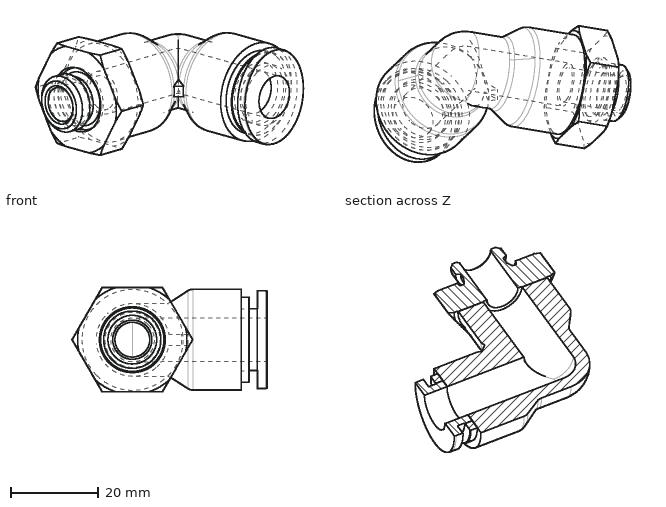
import cadquery as cq
import math


ARM_RADIUS = 8.35
SOCKET_RADIUS = 23.2 / 2
ARM_LENGTH = 25.05
CONE_START = 8.25
CONE_END = 13.25
CONE_BLEND = 2.0
PASSAGE_RADIUS = 10.0 / 2
WEB_THICKNESS = 2.55
WEB_WIDTH = 3.05
WEB_REACH = 16.95

STUD_BORE_RADIUS = 8.0 / 2
HEX_WIDTH = 24.0
HEX_HEIGHT = 8.0
HEX_FACE_RADIUS = 12.55
HEX_CHAMFER_HEIGHT = 0.45
SPIGOT_LENGTH = 5.95
THREAD_RADIUS = 13.15 / 2
NECK_RADIUS = 11.2 / 2
FLARE_RADIUS = 12.65 / 2
NECK_START = 0.45
NECK_END = 1.95
THREAD_START = 2.55
RECESS_MOUTH_RADIUS = 15.15 / 2
RECESS_FLOOR_RADIUS = 14.55 / 2
RECESS_DEPTH = 1.0
BORE_MOUTH_CHAMFER = 0.5

COLLAR_RADIUS = 19.6 / 2
COLLAR_LENGTH = 1.8
COLLAR_CHAMFER = 0.15

RING_RADIUS = 14.2 / 2
RING_LENGTH = 5.85
FLANGE_THICKNESS = 2.25
FLANGE_WIDTH = 19.45
FLANGE_HEIGHT = 22.5
FLANGE_CHAMFER_LENGTH = 0.35
FLANGE_CHAMFER_DEPTH = 0.1

HEX_TOP = -ARM_LENGTH
HEX_BOTTOM = HEX_TOP - HEX_HEIGHT
SPIGOT_END = HEX_BOTTOM - SPIGOT_LENGTH
RECESS_FLOOR = HEX_BOTTOM + RECESS_DEPTH


def revolve_about_y(points):
    """Revolve a closed (radius, y) outline about the inlet axis."""
    return cq.Workplane("XY").polyline(points).close().revolve(360, (0, 0, 0), (0, 1, 0))


def rod_along_x(start, length, radius):
    """Round rod on the outlet axis."""
    return cq.Workplane("YZ", origin=(start, 0, 0)).circle(radius).extrude(length)


def outlet_to_inlet(body):
    """Mirror an outlet feature across the plane x = -y onto the inlet axis."""
    turned = body.rotate((0, 0, 0), (0, 0, 1), -90)
    return turned.mirror("YZ")


def make_outlet_arm():
    """Solid outlet arm with a blended cone, cut off on the plane where the two arms meet."""
    outline = [
        (0, 0),
        (0, ARM_RADIUS),
        (CONE_START, ARM_RADIUS),
        (CONE_END, SOCKET_RADIUS),
        (ARM_LENGTH, SOCKET_RADIUS),
        (ARM_LENGTH, 0),
    ]
    arm = cq.Workplane("XY").polyline(outline).close().revolve(360, (0, 0, 0), (1, 0, 0))
    cone_edges = cq.selectors.BoxSelector(
        (CONE_START / 2, -SOCKET_RADIUS, -SOCKET_RADIUS),
        ((CONE_END + ARM_LENGTH) / 2, SOCKET_RADIUS, SOCKET_RADIUS),
    )
    arm = arm.edges("%CIRCLE").edges(cone_edges).fillet(CONE_BLEND)
    mitre = (
        cq.Workplane("XY")
        .polyline([(-ARM_LENGTH, ARM_LENGTH), (ARM_LENGTH, ARM_LENGTH), (ARM_LENGTH, -ARM_LENGTH)])
        .close()
        .extrude(SOCKET_RADIUS, both=True)
    )
    return arm.intersect(mitre)


def make_housing():
    """One-piece elbow with a rounded outer corner and a passage that turns with a rounded corner."""
    outlet_arm = make_outlet_arm()
    web = (
        cq.Workplane("XY")
        .box(WEB_REACH, WEB_WIDTH, WEB_THICKNESS, centered=(False, True, True))
        .rotate((0, 0, 0), (0, 0, 1), -45)
    )
    bore = rod_along_x(0, ARM_LENGTH, PASSAGE_RADIUS)
    return (
        outlet_arm.union(outlet_to_inlet(outlet_arm))
        .union(cq.Workplane("XY").sphere(ARM_RADIUS))
        .union(web)
        .cut(bore)
        .cut(outlet_to_inlet(bore))
        .cut(cq.Workplane("XY").sphere(PASSAGE_RADIUS))
    )


def make_stud():
    """Hexagon with a recessed outer face and a hollow threaded spigot."""
    corner_radius = HEX_WIDTH / math.sqrt(3)
    hexagon = (
        cq.Workplane("XZ", origin=(0, HEX_TOP, 0))
        .polygon(6, 2 * corner_radius)
        .extrude(HEX_HEIGHT)
    )
    corner_cutter = revolve_about_y([
        (0, HEX_TOP),
        (HEX_FACE_RADIUS, HEX_TOP),
        (corner_radius, HEX_TOP - HEX_CHAMFER_HEIGHT),
        (corner_radius, HEX_BOTTOM + HEX_CHAMFER_HEIGHT),
        (HEX_FACE_RADIUS, HEX_BOTTOM),
        (0, HEX_BOTTOM),
    ])
    recess = revolve_about_y([
        (0, RECESS_FLOOR),
        (RECESS_FLOOR_RADIUS, RECESS_FLOOR),
        (RECESS_MOUTH_RADIUS, HEX_BOTTOM),
        (0, HEX_BOTTOM),
    ])
    spigot = revolve_about_y([
        (0, RECESS_FLOOR),
        (FLARE_RADIUS, RECESS_FLOOR),
        (NECK_RADIUS, HEX_BOTTOM - NECK_START),
        (NECK_RADIUS, HEX_BOTTOM - NECK_END),
        (THREAD_RADIUS, HEX_BOTTOM - THREAD_START),
        (THREAD_RADIUS, SPIGOT_END + THREAD_RADIUS - NECK_RADIUS),
        (NECK_RADIUS, SPIGOT_END),
        (0, SPIGOT_END),
    ])
    bore = revolve_about_y([
        (0, HEX_TOP),
        (STUD_BORE_RADIUS, HEX_TOP),
        (STUD_BORE_RADIUS, SPIGOT_END + BORE_MOUTH_CHAMFER),
        (STUD_BORE_RADIUS + BORE_MOUTH_CHAMFER, SPIGOT_END),
        (0, SPIGOT_END),
    ])
    return hexagon.intersect(corner_cutter).cut(recess).union(spigot).cut(bore)


def make_collar():
    """Short sleeve on the outlet end face, around the neck of the release ring."""
    ring_hole = rod_along_x(ARM_LENGTH, COLLAR_LENGTH, RING_RADIUS)
    return (
        rod_along_x(ARM_LENGTH, COLLAR_LENGTH, COLLAR_RADIUS)
        .faces(">X").edges().chamfer(COLLAR_CHAMFER)
        .cut(ring_hole)
    )


def make_release_ring():
    """Tubular neck through the collar, ending in an oval push flange."""
    flange_start = ARM_LENGTH + RING_LENGTH - FLANGE_THICKNESS
    flange = (
        cq.Workplane("YZ", origin=(flange_start, 0, 0))
        .ellipse(FLANGE_WIDTH / 2, FLANGE_HEIGHT / 2)
        .extrude(FLANGE_THICKNESS)
        .faces(">X").edges().chamfer(FLANGE_CHAMFER_LENGTH, FLANGE_CHAMFER_DEPTH)
    )
    return (
        rod_along_x(ARM_LENGTH, RING_LENGTH, RING_RADIUS)
        .union(flange)
        .cut(rod_along_x(ARM_LENGTH, RING_LENGTH, PASSAGE_RADIUS))
    )


housing = make_housing()
stud = make_stud()
collar = make_collar()
release_ring = make_release_ring()

result = cq.Compound.makeCompound([housing.val(), stud.val(), collar.val(), release_ring.val()])